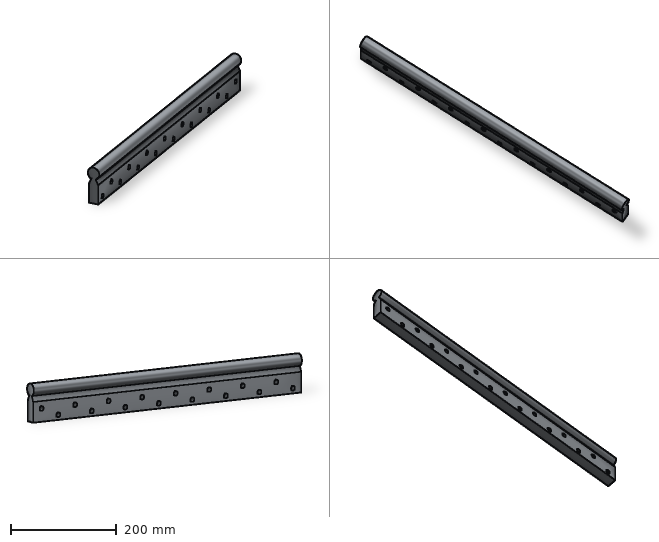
import cadquery as cq
import math

length = 600.0
height = 74.5
rod_diameter = 24.5

web_thickness = 20.0
web_flat_height = 40.0
neck_width = 9.5

hole_diameter = 9.0
hole_count = 16
lower_row_height = 10.0
upper_row_height = 26.0

rod_radius = rod_diameter / 2
rod_center_height = height - rod_radius
half_web = web_thickness / 2
half_neck = neck_width / 2
neck_height = rod_center_height - math.sqrt(rod_radius**2 - half_neck**2)
hole_spacing = length / hole_count


def make_rail():
    """Extrude the keyhole-shaped section along Y."""
    return (
        cq.Workplane("XZ")
        .moveTo(-half_web, 0)
        .lineTo(half_web, 0)
        .lineTo(half_web, web_flat_height)
        .lineTo(half_neck, neck_height)
        .threePointArc((0, height), (-half_neck, neck_height))
        .lineTo(-half_web, web_flat_height)
        .close()
        .extrude(length / 2, both=True)
    )


def make_hole_cutters():
    """Make evenly spaced cylinders along X that alternate between the two rows."""
    first_hole_y = -length / 2 + hole_spacing / 2
    centers = []
    for index in range(hole_count):
        row_height = lower_row_height if index % 2 == 0 else upper_row_height
        centers.append((first_hole_y + index * hole_spacing, row_height))
    return (
        cq.Workplane("YZ")
        .pushPoints(centers)
        .circle(hole_diameter / 2)
        .extrude(web_thickness, both=True)
    )


result = make_rail().cut(make_hole_cutters())